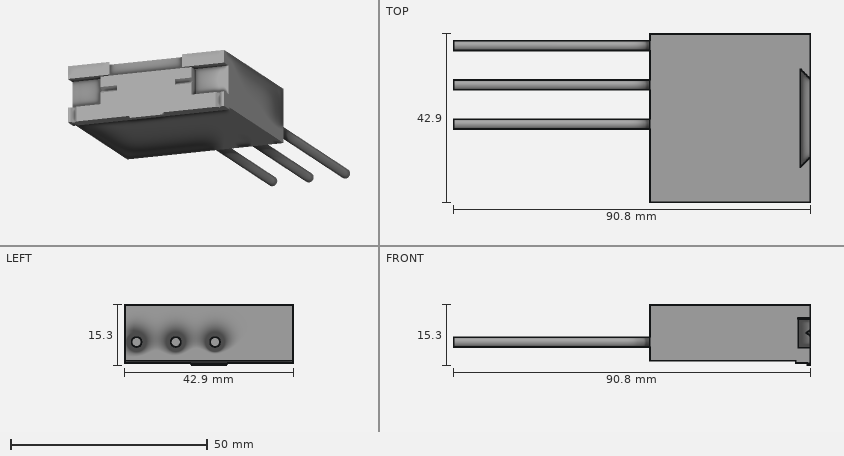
import cadquery as cq

body_length = 40.9
body_width = 42.9
body_height = 14.3

lead_length = 90.8 - body_length
lead_diameter = 2.5
lead_pitch = 10.0
lead_edge_distance = 3.0
lead_drop = 9.4

channel_depth = 3.1
channel_top = -3.4
channel_bottom = -10.9
block_gap = 0.3

dovetail_depth = 2.5
dovetail_width = 25.0

block_groove_depth = 1.1
block_groove_half_height = 0.7
block_groove_length = 4.5
flange_notch_depth = 0.8
flange_notch_inset = 0.7

foot_length = 3.7
foot_height = 0.5
latch_length = 0.8
latch_height = 0.5
latch_width = 9.4
latch_slope = 0.4


def box(x_start, x_end, width, z_low, z_high):
    """Box centred on Y between the given X and Z limits."""
    size_x = x_end - x_start
    return (
        cq.Workplane("XY")
        .box(size_x, width, z_high - z_low, centered=(False, True, False))
        .translate((x_start, 0, z_low))
    )


def plan_prism(points, z_low, z_high):
    """Upright prism over an outline of X, Y points."""
    return cq.Workplane("XY").workplane(offset=z_low).polyline(points).close().extrude(z_high - z_low)


def make_body():
    """Block with its foot and the channel across the far end."""
    body = box(0, body_length, body_width, -body_height, 0)
    foot = box(body_length - foot_length, body_length, body_width, -body_height - foot_height, -body_height)
    channel = box(body_length - channel_depth, body_length, body_width, channel_bottom, channel_top)
    return body.union(foot).cut(channel)


def make_dovetail():
    """Opening through the upper flange, narrower at the outer face."""
    inner_half = dovetail_width / 2
    outer_half = inner_half - dovetail_depth
    inner_x = body_length - dovetail_depth
    outline = [
        (inner_x, -inner_half),
        (body_length, -outer_half),
        (body_length, outer_half),
        (inner_x, inner_half),
    ]
    return plan_prism(outline, channel_top, 0)


def make_filler_block():
    """Block in the channel with a short V groove from each end of its outer face."""
    block = box(
        body_length - channel_depth, body_length, dovetail_width, channel_bottom, channel_top - block_gap
    )
    groove_z = (channel_top + channel_bottom) / 2
    groove = (
        cq.Workplane("XZ")
        .polyline([
            (body_length - block_groove_depth, groove_z),
            (body_length, groove_z + block_groove_half_height),
            (body_length, groove_z - block_groove_half_height),
        ])
        .close()
        .extrude(block_groove_length)
        .translate((0, dovetail_width / 2, 0))
    )
    return block.cut(groove).cut(groove.mirror("XZ"))


def make_flange_notch(side):
    """Right-angled V notch in the lower flange near one end of the channel."""
    center_y = side * (body_width / 2 - flange_notch_inset - flange_notch_depth)
    outline = [
        (body_length - flange_notch_depth, center_y),
        (body_length, center_y - flange_notch_depth),
        (body_length, center_y + flange_notch_depth),
    ]
    return plan_prism(outline, -body_height - foot_height, channel_bottom)


def make_latch():
    """Small ledge with sloped ends under the foot."""
    top_z = -body_height - foot_height
    bottom_half = latch_width / 2 - latch_slope
    return (
        cq.Workplane("YZ")
        .workplane(offset=body_length - latch_length)
        .polyline([
            (-latch_width / 2, top_z),
            (latch_width / 2, top_z),
            (bottom_half, top_z - latch_height),
            (-bottom_half, top_z - latch_height),
        ])
        .close()
        .extrude(latch_length)
    )


def make_lead(center_y):
    """Round lead standing out from the wire end."""
    return (
        cq.Workplane("YZ")
        .center(center_y, -lead_drop)
        .circle(lead_diameter / 2)
        .extrude(-lead_length)
    )


result = make_body().cut(make_dovetail()).union(make_filler_block())
for side in (-1, 1):
    result = result.cut(make_flange_notch(side))
result = result.union(make_latch())
for index in range(3):
    result = result.union(make_lead(body_width / 2 - lead_edge_distance - index * lead_pitch))